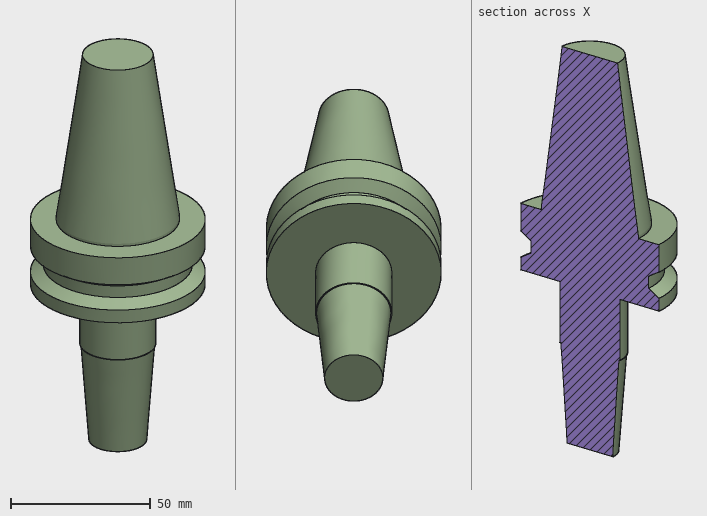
import cadquery as cq

total_height = 154.3
nose_height = 38.4
flange_bottom = 62.2
flange_height = 26.0
flange_top = flange_bottom + flange_height
neck_height = 1.0
taper_bottom = flange_top + neck_height

nose_end_diameter = 21.0
nose_top_diameter = 26.7
shank_diameter = 27.5
flange_diameter = 63.0
groove_diameter = 53.7
taper_large_diameter = 44.5
taper_small_diameter = 25.5

lower_rim_height = 5.1
groove_floor_width = 4.6
groove_depth = (flange_diameter - groove_diameter) / 2
groove_side_height = 2.8
groove_bottom = flange_bottom + lower_rim_height
floor_bottom = groove_bottom + groove_side_height
floor_top = floor_bottom + groove_floor_width
groove_top = floor_top + groove_side_height


def cylinder(diameter, bottom, top):
    """Vertical cylinder on the tool axis."""
    return cq.Workplane("XY").workplane(offset=bottom).circle(diameter / 2).extrude(top - bottom)


def cone(bottom_diameter, top_diameter, bottom, top):
    """Vertical truncated cone on the tool axis."""
    solid = cq.Solid.makeCone(
        bottom_diameter / 2, top_diameter / 2, top - bottom, pnt=cq.Vector(0, 0, bottom)
    )
    return cq.Workplane(solid)


def grooved_flange():
    """Gripper flange with its flat-floored V-groove."""
    rim_radius = flange_diameter / 2
    floor_radius = rim_radius - groove_depth
    groove = (
        cq.Workplane("XZ")
        .moveTo(rim_radius, groove_bottom)
        .lineTo(floor_radius, floor_bottom)
        .lineTo(floor_radius, floor_top)
        .lineTo(rim_radius, groove_top)
        .close()
        .revolve(360, (0, 0, 0), (0, 1, 0))
    )
    return cylinder(flange_diameter, flange_bottom, flange_top).cut(groove)


nose = cone(nose_end_diameter, nose_top_diameter, 0, nose_height)
shank = cylinder(shank_diameter, nose_height, flange_bottom)
neck = cylinder(taper_large_diameter, flange_top, taper_bottom)
taper = cone(taper_large_diameter, taper_small_diameter, taper_bottom, total_height)

result = nose.union(shank).union(grooved_flange()).union(neck).union(taper)